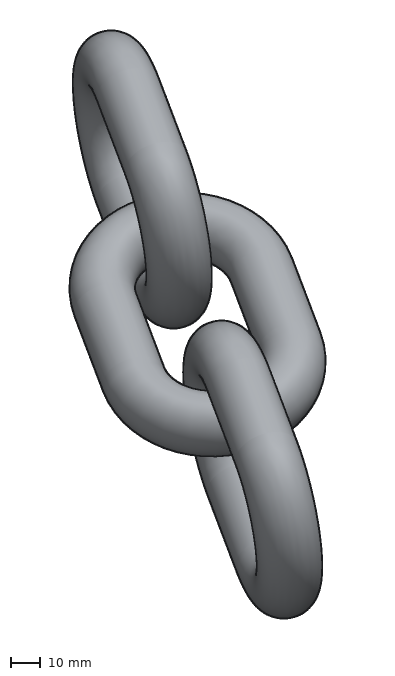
import cadquery as cq

CHAIN_LENGTH = 242.0
LINK_WIDTH = 76.5
WIRE_DIAMETER = 22.0
LINK_COUNT = 3

PITCH = (CHAIN_LENGTH - 2 * WIRE_DIAMETER) / LINK_COUNT
LINK_LENGTH = PITCH + 2 * WIRE_DIAMETER
BEND_RADIUS = (LINK_WIDTH - WIRE_DIAMETER) / 2
STRAIGHT_LENGTH = LINK_LENGTH - LINK_WIDTH
HALF_STRAIGHT = STRAIGHT_LENGTH / 2


def straight_bar(side):
    """Straight wire along X, on the +Z (side = 1) or -Z (side = -1) side of a link."""
    return (
        cq.Workplane("YZ", origin=(-HALF_STRAIGHT, 0, side * BEND_RADIUS))
        .circle(WIRE_DIAMETER / 2)
        .extrude(STRAIGHT_LENGTH)
    )


def end_bend(end):
    """Half-torus closing a link at its +X (end = 1) or -X (end = -1) end."""
    bend = (
        cq.Workplane("YZ")
        .center(0, BEND_RADIUS)
        .circle(WIRE_DIAMETER / 2)
        .revolve(180, (0, -BEND_RADIUS, 0), (end, -BEND_RADIUS, 0))
    )
    return bend.translate((end * HALF_STRAIGHT, 0, 0))


def chain_link():
    """One closed link centred on the origin, standing in the XZ plane."""
    return straight_bar(1).union(straight_bar(-1)).union(end_bend(1)).union(end_bend(-1))


links = []
for index in range(LINK_COUNT):
    link = chain_link()
    if index % 2 == 1:
        link = link.rotate((0, 0, 0), (1, 0, 0), 90)
    offset = (index - (LINK_COUNT - 1) / 2) * PITCH
    links.append(link.translate((offset, 0, 0)).val())

result = cq.Compound.makeCompound(links)